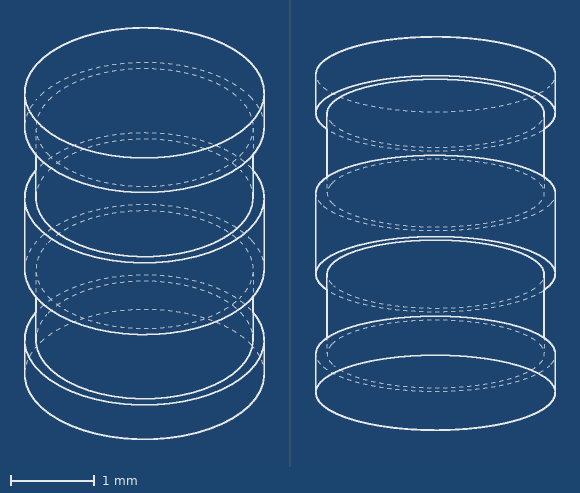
import cadquery as cq

total_height = 4.0
collar_diameter = 2.86
core_diameter = 2.59
groove_width = 1.0
middle_collar_height = 1.02

groove_offset = (middle_collar_height + groove_width) / 2


def make_cylinder(diameter, height, center_z):
    """Solid cylinder on the Z axis, centred at the given height."""
    return cq.Workplane("XY").workplane(offset=center_z - height / 2).circle(diameter / 2).extrude(height)


def make_groove_ring(center_z):
    """Ring of material removed to leave one groove around the core."""
    outer = make_cylinder(collar_diameter, groove_width, center_z)
    core = make_cylinder(core_diameter, groove_width, center_z)
    return outer.cut(core)


result = make_cylinder(collar_diameter, total_height, 0)

for side in (-1, 1):
    result = result.cut(make_groove_ring(side * groove_offset))